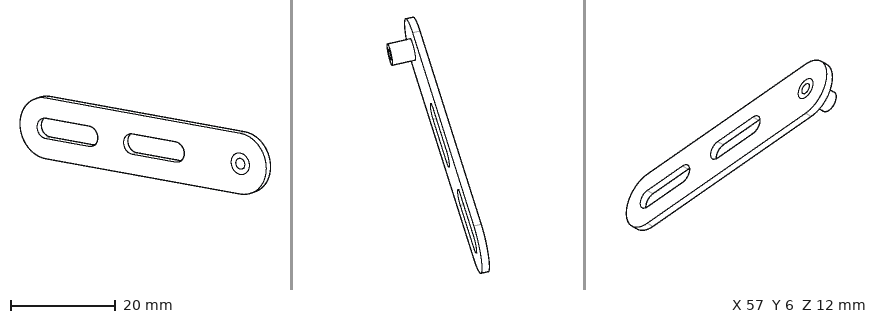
import cadquery as cq

plate_length = 57.0
plate_width = 12.0
plate_thickness = 1.5
end_radius = plate_width / 2

slot_length = 14.0
slot_width = 4.0
slot_pitch = 20.0
slot_count = 2
first_slot_margin = 4.0
first_slot_x = -plate_length / 2 + first_slot_margin + slot_length / 2

bushing_diameter = 4.2
bushing_bore = 2.1
bushing_length = 6.0
bushing_x = plate_length / 2 - end_radius


def face_plane(x=0):
    """Front face plane at y = 0, centred at x, with its normal along +Y."""
    return cq.Workplane(cq.Plane(origin=(x, 0, 0), xDir=(1, 0, 0), normal=(0, 1, 0)))


def make_plate():
    """Rounded bar with its slots and the hole that holds the bushing."""
    plate = face_plane().slot2D(plate_length, plate_width).extrude(plate_thickness)
    for index in range(slot_count):
        slot_x = first_slot_x + index * slot_pitch
        slot = face_plane(slot_x).slot2D(slot_length, slot_width).extrude(plate_thickness)
        plate = plate.cut(slot)
    bushing_hole = face_plane(bushing_x).circle(bushing_diameter / 2).extrude(plate_thickness)
    return plate.cut(bushing_hole)


def make_bushing():
    """Tube seated in the plate and standing out behind it."""
    rings = face_plane(bushing_x).circle(bushing_diameter / 2).circle(bushing_bore / 2)
    return rings.extrude(bushing_length)


plate = make_plate().solids()
bushing = make_bushing().solids()
result = cq.Compound.makeCompound([plate.val(), bushing.val()])